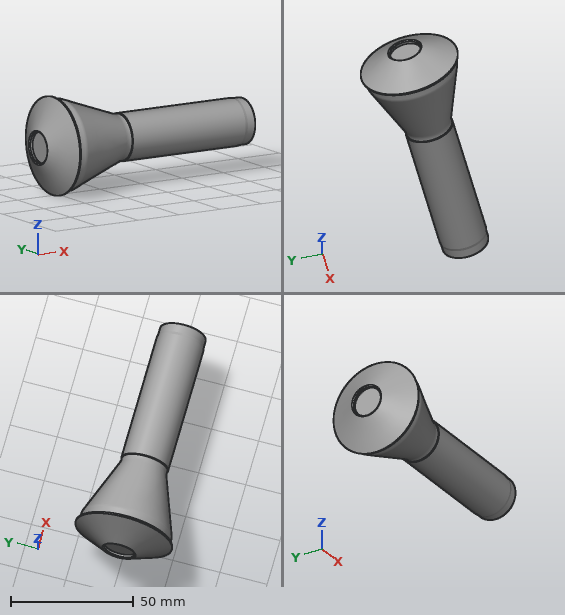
import cadquery as cq
import math

TOTAL_LENGTH = 100.0

NOSE_DIAMETER = 14.2
RECESS_DIAMETER = 13.0
RECESS_CHAMFER_DEPTH = 0.5
RECESS_DEPTH = 1.6
RIM_DIAMETER = 41.1
RIM_START = 7.2
RIM_WIDTH = 0.3
BEAD_BACK = 8.2
BEAD_BACK_DIAMETER = 39.6
BEAD_ROOT = 8.0
COLLAR_DIAMETER = 38.5
NECK_DIAMETER = 19.5
COLLAR_BLEND_START = 11.1
COLLAR_BLEND_END = 12.3
NECK_BLEND_START = 37.0
NECK_BLEND_END = 38.7

HANDLE_START = 39.6
GRIP_DIAMETER = 20.0
GRIP_END = 94.6
TAIL_DIAMETER = 19.5
TAIL_TAPER_END = 95.8
TAIL_ROUNDING = 1.2
GRIP_STEP = (GRIP_DIAMETER - NECK_DIAMETER) / 2


def revolve_about_x(profile):
    """Turn a closed half profile (X along the axis, Y as radius) about the X axis."""
    return profile.close().revolve(360, (0, 0, 0), (1, 0, 0))


def make_head():
    """Conical nose with a shallow recess, beaded rim, short collar and a cone tapering to the neck."""
    collar_radius = COLLAR_DIAMETER / 2
    neck_radius = NECK_DIAMETER / 2

    cone_start = (COLLAR_BLEND_START + COLLAR_BLEND_END) / 2
    cone_end = (NECK_BLEND_START + NECK_BLEND_END) / 2
    cone_slope = (collar_radius - neck_radius) / (cone_end - cone_start)
    collar_blend_radius = collar_radius - cone_slope * (COLLAR_BLEND_END - cone_start)
    neck_blend_radius = neck_radius + cone_slope * (cone_end - NECK_BLEND_START)

    profile = (
        cq.Workplane("XY")
        .moveTo(RECESS_DEPTH, 0)
        .lineTo(RECESS_DEPTH, RECESS_DIAMETER / 2)
        .lineTo(RECESS_CHAMFER_DEPTH, RECESS_DIAMETER / 2)
        .lineTo(0, NOSE_DIAMETER / 2)
        .lineTo(RIM_START, RIM_DIAMETER / 2)
        .lineTo(RIM_START + RIM_WIDTH, RIM_DIAMETER / 2)
        .threePointArc((BEAD_BACK, BEAD_BACK_DIAMETER / 2), (BEAD_ROOT, collar_radius))
        .lineTo(COLLAR_BLEND_START, collar_radius)
        .tangentArcPoint((COLLAR_BLEND_END, collar_blend_radius), relative=False)
        .lineTo(NECK_BLEND_START, neck_blend_radius)
        .tangentArcPoint((NECK_BLEND_END, neck_radius), relative=False)
        .lineTo(HANDLE_START, neck_radius)
        .lineTo(HANDLE_START, 0)
    )
    return revolve_about_x(profile)


def make_handle():
    """Straight grip, chamfered at the neck and tapering to a tail with a rounded end."""
    grip_radius = GRIP_DIAMETER / 2
    tail_radius = TAIL_DIAMETER / 2
    arc_offset = TAIL_ROUNDING * math.sqrt(0.5)
    arc_middle = (
        TOTAL_LENGTH - TAIL_ROUNDING + arc_offset,
        tail_radius - TAIL_ROUNDING + arc_offset,
    )

    profile = (
        cq.Workplane("XY")
        .moveTo(HANDLE_START, 0)
        .lineTo(HANDLE_START, NECK_DIAMETER / 2)
        .lineTo(HANDLE_START + GRIP_STEP, grip_radius)
        .lineTo(GRIP_END, grip_radius)
        .lineTo(TAIL_TAPER_END, tail_radius)
        .lineTo(TOTAL_LENGTH - TAIL_ROUNDING, tail_radius)
        .threePointArc(arc_middle, (TOTAL_LENGTH, tail_radius - TAIL_ROUNDING))
        .lineTo(TOTAL_LENGTH, 0)
    )
    return revolve_about_x(profile)


head = make_head()
handle = make_handle()
result = cq.Compound.makeCompound([head.val(), handle.val()])